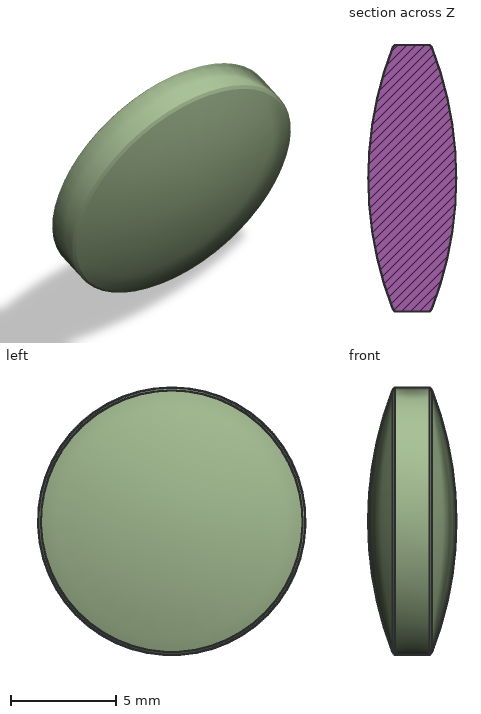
import cadquery as cq

diameter = 12.7
center_thickness = 4.2
rim_width = 1.65
bevel_width = 0.11
bevel_depth = 0.14

rim_radius = diameter / 2
face_radius = rim_radius - bevel_depth
half_thickness = center_thickness / 2
half_rim = rim_width / 2
half_edge = half_rim + bevel_width

cap_height = half_thickness - half_edge
sphere_radius = (face_radius**2 + cap_height**2) / (2 * cap_height)

arc_mid_radius = face_radius / 2
arc_mid_x = half_thickness - sphere_radius + (sphere_radius**2 - arc_mid_radius**2) ** 0.5

half_section = (
    cq.Workplane("XZ")
    .moveTo(-half_thickness, 0)
    .threePointArc((-arc_mid_x, arc_mid_radius), (-half_edge, face_radius))
    .lineTo(-half_rim, rim_radius)
    .lineTo(half_rim, rim_radius)
    .lineTo(half_edge, face_radius)
    .threePointArc((arc_mid_x, arc_mid_radius), (half_thickness, 0))
    .close()
)

axis_start = (0, 0, 0)
axis_end = (1, 0, 0)
result = half_section.revolve(360, axis_start, axis_end)